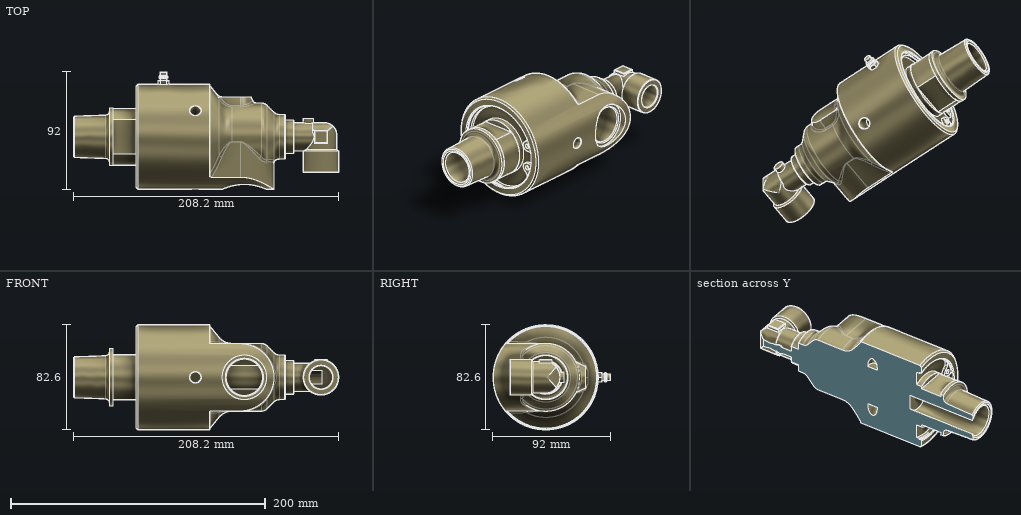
import cadquery as cq
import math


body_front = 49.0
body_rear = 107.3
body_radius = 82.6 / 2
body_chamfer = 1.5
rear_edge_chamfer = 0.5

neck_front = 100.0
neck_radius = 26.7
flare_arc_radius = 12.9
flare_angle = math.radians(51)
flare_end = 124.2
flare_start = flare_end - flare_arc_radius * math.sin(flare_angle)
cone_start = 147.4
cone_arc_radius = 6.2
cone_angle = math.radians(45)
collar_radius = 17.6
collar_end = 166.2
small_collar_radius = 13.3
small_collar_end = 173.1
collar_chamfer = 0.5

nipple_tip_radius = 16.3
nipple_base_radius = 17.1
nipple_length = 25.2
nipple_chamfer = 0.9
flange_front = 28.1
flange_radius = 45.3 / 2
flats_front = 31.05
flats_end = 48.9
flats_half_width = 17.75
wrench_radius = 22.4
flare_foot_radius = 20.4
rotor_bore_diameter = 25.0
rotor_mouth_diameter = 28.0
rotor_mouth_depth = 1.0
rotor_bore_depth = 60.0

recess_radius = 68.1 / 2
recess_chamfer = 0.7
recess_floor = 53.5
ring_front = 51.1
ring_inner_radius = 34.0
ring_offset = 2.3
lug_y = -28.5
lug_z = 9.5
lug_radius = 4.2
lug_neck_z = 15.4
lug_web_top_z = 18.5
lug_hole_diameter = 3.44

saddle_half_width = 26.4
saddle_front = 103.0
saddle_fillet = 3.0
saddle_end_x = 157.4
saddle_center_x = saddle_end_x - saddle_half_width
port_x = 134.1
spotface_diameter = 34.9
spotface_y = -36.0
port_diameter = 28.57
port_mouth_diameter = 30.0
port_mouth_depth = 1.0
hump_radius = 16.5
hump_width = 18.25
port_bottom_y = -math.sqrt(hump_radius**2 - (hump_width / 2) ** 2)

vent_x = 95.65
vent_diameter = 8.6
vent_mouth_diameter = 9.4
vent_mouth_depth = 0.4
vent_depth = 20.0
vent_count = 3

back_boss_y = 31.4
back_boss_half_width = 8.4
back_boss_root_y = 20.0
back_boss_taper = 25.0
back_boss_foot_y = 23.8
back_boss_front = 108.0
back_boss_top_fillet = 5.0
back_boss_fillet = 2.5

fitting_x = 70.6
fitting_tip_y = 50.71
fitting_hex_y = 44.2
fitting_seat_depth = 2.0
fitting_hex_corner_diameter = 8.9
fitting_stem_radius = 5.36 / 2
fitting_bead_radius = 3.7
fitting_bead_bottom_y = 46.5
fitting_bead_top_y = 47.3
fitting_bead_slope = 0.9

elbow_x = 194.24
elbow_pipe_radius = 11.2
elbow_leg_radius = 12.5
elbow_corner_radius = 10.0
elbow_corner_front_x = 187.6
elbow_shoulder_y = -10.0
socket_radius = 28.0 / 2
socket_top_y = -11.3
socket_end_y = -28.1
socket_chamfer = 0.4
socket_bore_diameter = 18.25
socket_mouth_diameter = 19.0
socket_mouth_depth = 0.5
socket_bore_bottom_y = 0.0
elbow_bore_diameter = 10.8
elbow_bore_end_x = 195.2
elbow_bore_start_x = 175.0
pad_width = 10.3
pad_top_z = 14.0
pad_chamfer = 0.5
stud_x = 184.26
stud_radius = 8.3 / 2
stud_end_y = 14.5


def cylinder_x(x_start, x_end, radius):
    return cq.Workplane("YZ", origin=(x_start, 0, 0)).circle(radius).extrude(x_end - x_start)


def cylinder_y(x, y_start, y_end, radius):
    """Cylinder along Y centred on (x, z = 0), with y_end above y_start."""
    return cq.Workplane("XZ", origin=(x, y_end, 0)).circle(radius).extrude(y_end - y_start)


def cone_y(x, y_start, y_end, radius_start, radius_end):
    profile = [(0, y_start), (radius_start, y_start), (radius_end, y_end), (0, y_end)]
    return cq.Workplane("XY").polyline(profile).close().revolve().translate((x, 0, 0))


def make_body():
    return (
        cylinder_x(body_front, body_rear, body_radius)
        .faces("<X")
        .chamfer(body_chamfer)
        .faces(">X")
        .chamfer(rear_edge_chamfer)
    )


def make_neck():
    """Flared neck, cone and collars as one turned shape; the flare starts inside the body."""
    flare_start_radius = neck_radius + flare_arc_radius * (1 - math.cos(flare_angle))
    neck_front_radius = flare_start_radius + (flare_start - neck_front) * math.tan(flare_angle)
    flare_mid = (
        flare_end - flare_arc_radius * math.sin(flare_angle / 2),
        neck_radius + flare_arc_radius * (1 - math.cos(flare_angle / 2)),
    )

    arc_run = cone_arc_radius * math.sin(cone_angle)
    arc_drop = cone_arc_radius * (1 - math.cos(cone_angle))
    half_run = cone_arc_radius * math.sin(cone_angle / 2)
    half_drop = cone_arc_radius * (1 - math.cos(cone_angle / 2))
    cone_run = (neck_radius - collar_radius - 2 * arc_drop) / math.tan(cone_angle)
    cone_top = cone_start + arc_run
    cone_foot = cone_top + cone_run
    collar_start = cone_foot + arc_run

    return (
        cq.Workplane("XY")
        .moveTo(neck_front, 0)
        .lineTo(neck_front, neck_front_radius)
        .lineTo(flare_start, flare_start_radius)
        .threePointArc(flare_mid, (flare_end, neck_radius))
        .lineTo(cone_start, neck_radius)
        .threePointArc((cone_start + half_run, neck_radius - half_drop), (cone_top, neck_radius - arc_drop))
        .lineTo(cone_foot, collar_radius + arc_drop)
        .threePointArc((collar_start - half_run, collar_radius + half_drop), (collar_start, collar_radius))
        .lineTo(collar_end - collar_chamfer, collar_radius)
        .lineTo(collar_end, collar_radius - collar_chamfer)
        .lineTo(collar_end, small_collar_radius)
        .lineTo(small_collar_end - collar_chamfer, small_collar_radius)
        .lineTo(small_collar_end, small_collar_radius - collar_chamfer)
        .lineTo(small_collar_end, 0)
        .close()
        .revolve(360, (0, 0, 0), (1, 0, 0))
    )


def make_saddle():
    """Round-ended slab on -Y, running past the body radius."""
    return (
        cq.Workplane("XZ")
        .moveTo(saddle_front, -saddle_half_width)
        .lineTo(saddle_center_x, -saddle_half_width)
        .threePointArc((saddle_end_x, 0), (saddle_center_x, saddle_half_width))
        .lineTo(saddle_front, saddle_half_width)
        .close()
        .extrude(2 * body_radius)
    )


def make_back_boss():
    """Tapered round-ended boss on +Y."""
    return (
        cq.Workplane("XZ", origin=(0, back_boss_y, 0))
        .moveTo(back_boss_front, -back_boss_half_width)
        .lineTo(saddle_center_x, -back_boss_half_width)
        .threePointArc((saddle_center_x + back_boss_half_width, 0), (saddle_center_x, back_boss_half_width))
        .lineTo(back_boss_front, back_boss_half_width)
        .close()
        .extrude(back_boss_y - back_boss_root_y, taper=-back_boss_taper)
    )


def make_rear():
    """Neck with saddle and back boss blended in, trimmed to the body cylinder."""
    straight_mid_x = (flare_end + saddle_center_x) / 2
    saddle_edge = (straight_mid_x, -math.sqrt(neck_radius**2 - saddle_half_width**2), saddle_half_width)
    boss_edge = (straight_mid_x, back_boss_foot_y, math.sqrt(neck_radius**2 - back_boss_foot_y**2))
    boss_top_edge = (flare_start, back_boss_y, 0)
    rear = make_neck().union(make_saddle())
    rear = rear.edges(cq.NearestToPointSelector(saddle_edge)).fillet(saddle_fillet)
    rear = rear.union(make_back_boss())
    rear = rear.edges(cq.NearestToPointSelector(boss_top_edge)).fillet(back_boss_top_fillet)
    rear = rear.edges(cq.NearestToPointSelector(boss_edge)).fillet(back_boss_fillet)
    trim_start = body_rear - rear_edge_chamfer
    return rear.intersect(cylinder_x(trim_start, small_collar_end, body_radius))


def cut_recess(part):
    mouth = (
        cq.Workplane("YZ", origin=(body_front, 0, 0))
        .circle(recess_radius + recess_chamfer)
        .workplane(offset=recess_chamfer)
        .circle(recess_radius)
        .loft()
    )
    return part.cut(cylinder_x(body_front, recess_floor, recess_radius)).cut(mouth)


def make_retaining_ring():
    """Eccentric snap ring with two drilled lugs, lying on the recess floor."""
    thickness = recess_floor - ring_front
    plane = cq.Workplane("YZ", origin=(ring_front, 0, 0))
    disc = plane.circle(recess_radius).extrude(thickness)
    opening = plane.center(-ring_offset, 0).circle(ring_inner_radius).extrude(thickness)
    ring = disc.cut(opening)
    lug_shoulder_y = lug_radius * math.cos(math.pi / 3)
    lug_shoulder_z = lug_radius * math.sin(math.pi / 3)
    for side in (1, -1):
        lug = plane.center(lug_y, side * lug_z).circle(lug_radius).extrude(thickness)
        web = (
            plane.moveTo(lug_y, side * (lug_z - lug_radius))
            .lineTo(-recess_radius, side * (lug_z - lug_radius))
            .lineTo(-recess_radius, side * lug_web_top_z)
            .lineTo(lug_y, side * lug_web_top_z)
            .lineTo(lug_y, side * lug_neck_z)
            .lineTo(lug_y + lug_shoulder_y, side * (lug_z + lug_shoulder_z))
            .close()
            .extrude(thickness)
        )
        hole = plane.center(lug_y, side * lug_z).circle(lug_hole_diameter / 2).extrude(thickness)
        ring = ring.union(lug.union(web).intersect(disc)).cut(hole)
    return ring


def make_rotor():
    """Tapered nipple, flange and two wrench flats at +Z and -Z."""
    foot_mid = (
        nipple_length + (flange_front - nipple_length) * math.sin(math.pi / 4),
        flare_foot_radius - (flare_foot_radius - nipple_base_radius) * math.cos(math.pi / 4),
    )
    rotor = (
        cq.Workplane("XY")
        .moveTo(0, 0)
        .lineTo(0, nipple_tip_radius - nipple_chamfer)
        .lineTo(nipple_chamfer, nipple_tip_radius)
        .lineTo(nipple_length, nipple_base_radius)
        .threePointArc(foot_mid, (flange_front, flare_foot_radius))
        .lineTo(flange_front, flange_radius)
        .lineTo(flats_front, flange_radius)
        .lineTo(flats_front, wrench_radius)
        .lineTo(flats_end, wrench_radius)
        .lineTo(flats_end, flange_radius)
        .lineTo(recess_floor, flange_radius)
        .lineTo(recess_floor, 0)
        .close()
        .revolve(360, (0, 0, 0), (1, 0, 0))
    )
    flats_length = flats_end - flats_front
    for side in (1, -1):
        flat = cq.Workplane("XY").box(flats_length, 2 * flange_radius, flange_radius).translate(
            (flats_front + flats_length / 2, 0, side * (flats_half_width + flange_radius / 2))
        )
        rotor = rotor.cut(flat)
    return rotor


def make_rotor_bore():
    mouth = (
        cq.Workplane("YZ")
        .circle(rotor_mouth_diameter / 2)
        .workplane(offset=rotor_mouth_depth)
        .circle(rotor_bore_diameter / 2)
        .loft()
    )
    return cylinder_x(0, rotor_bore_depth, rotor_bore_diameter / 2).union(mouth)


def make_port():
    """Port space on -Y, leaving a rounded hump along X on its floor."""
    spotface = cylinder_y(port_x, -2 * body_radius, spotface_y, spotface_diameter / 2)
    mouth = cone_y(
        port_x, spotface_y, spotface_y + port_mouth_depth, port_mouth_diameter / 2, port_diameter / 2
    )
    bore = cylinder_y(port_x, spotface_y, port_bottom_y, port_diameter / 2)
    hump = cylinder_x(port_x - port_diameter, port_x + port_diameter, hump_radius)
    return spotface.union(mouth).union(bore).cut(hump)


def make_vents():
    """Radial vent holes, equally spaced from -Y."""
    hole = cylinder_y(vent_x, -body_radius - vent_mouth_depth, vent_depth - body_radius, vent_diameter / 2)
    mouth = cone_y(
        vent_x,
        -body_radius,
        vent_mouth_depth - body_radius,
        vent_mouth_diameter / 2,
        vent_diameter / 2,
    )
    hole = hole.union(mouth)
    vents = hole
    for index in range(1, vent_count):
        vents = vents.union(hole.rotate((0, 0, 0), (1, 0, 0), index * 360 / vent_count))
    return vents


def make_grease_fitting():
    hexagon = (
        cq.Workplane("XZ", origin=(fitting_x, fitting_hex_y, 0))
        .polygon(6, fitting_hex_corner_diameter)
        .extrude(fitting_hex_y - body_radius + fitting_seat_depth)
    )
    stem = (
        cq.Workplane("XY")
        .moveTo(0, fitting_hex_y)
        .lineTo(fitting_stem_radius, fitting_hex_y)
        .lineTo(fitting_stem_radius, fitting_bead_bottom_y - fitting_bead_slope)
        .lineTo(fitting_bead_radius, fitting_bead_bottom_y)
        .lineTo(fitting_bead_radius, fitting_bead_top_y)
        .lineTo(fitting_stem_radius, fitting_bead_top_y + fitting_bead_slope)
        .lineTo(fitting_stem_radius, fitting_tip_y)
        .lineTo(0, fitting_tip_y)
        .close()
        .revolve()
        .translate((fitting_x, 0, 0))
    )
    return hexagon.union(stem)


def make_elbow():
    """Pipe elbow turning from +X to -Y, with a socket, a square pad and a stud."""
    pipe = cylinder_x(small_collar_end, elbow_x, elbow_pipe_radius)
    leg = cylinder_y(elbow_x, elbow_shoulder_y, 0, elbow_leg_radius)
    corner_end_x = elbow_x + elbow_leg_radius
    corner = (
        cq.Workplane("YZ", origin=(elbow_corner_front_x, 0, 0))
        .ellipse(elbow_pipe_radius, elbow_leg_radius)
        .extrude(corner_end_x - elbow_corner_front_x)
    )
    corner_outline = (
        cq.Workplane("XY", origin=(0, 0, -elbow_leg_radius))
        .moveTo(elbow_corner_front_x, 0)
        .lineTo(elbow_corner_front_x, elbow_pipe_radius)
        .lineTo(corner_end_x - elbow_corner_radius, elbow_pipe_radius)
        .radiusArc((corner_end_x, elbow_pipe_radius - elbow_corner_radius), elbow_corner_radius)
        .lineTo(corner_end_x, 0)
        .close()
        .extrude(2 * elbow_leg_radius)
    )
    upper_leg = cylinder_y(elbow_x, 0, elbow_pipe_radius, elbow_leg_radius)
    corner = corner.intersect(corner_outline).intersect(upper_leg)
    shoulder = cone_y(elbow_x, socket_top_y, elbow_shoulder_y, socket_radius, elbow_leg_radius)
    socket = cylinder_y(elbow_x, socket_end_y, socket_top_y, socket_radius)
    socket = socket.faces("<Y").edges().chamfer(socket_chamfer)
    pad = (
        cq.Workplane("XY")
        .rect(pad_width, pad_width)
        .extrude(pad_top_z)
        .faces(">Z")
        .chamfer(pad_chamfer)
        .translate((elbow_x, 0, 0))
    )
    stud = cylinder_y(stud_x, 0, stud_end_y, stud_radius)
    elbow = leg.union(corner).union(pipe).union(shoulder).union(socket).union(pad).union(stud)

    bore = cylinder_y(elbow_x, socket_end_y, socket_bore_bottom_y, socket_bore_diameter / 2)
    mouth = cone_y(
        elbow_x,
        socket_end_y,
        socket_end_y + socket_mouth_depth,
        socket_mouth_diameter / 2,
        socket_bore_diameter / 2,
    )
    cross_bore = cylinder_x(elbow_bore_start_x, elbow_bore_end_x, elbow_bore_diameter / 2)
    return elbow.cut(bore).cut(mouth).cut(cross_bore)


result = make_body().union(make_rear())
result = cut_recess(result)
result = result.union(make_retaining_ring()).union(make_rotor())
result = result.cut(make_rotor_bore()).cut(make_port()).cut(make_vents())
result = result.union(make_grease_fitting()).union(make_elbow())